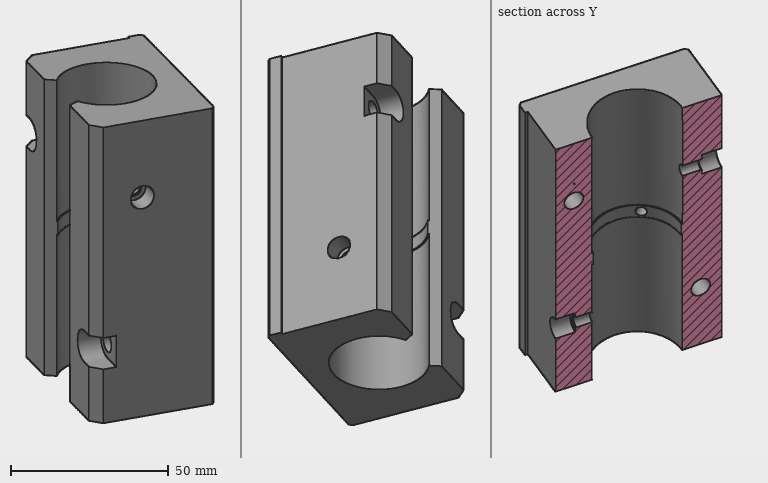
import cadquery as cq
import math


length = 104.0
width = 60.0
height = 42.0
back_y = 25.0
front_y = back_y - height
half_width = width / 2
back_chamfer = 1.0
front_chamfer = 3.5

ledge_height = 5.0
side_setback = 1.0
left_side_x = -half_width + side_setback

bore_radius = 16.0
land_radius = 15.6
land_length = 5.0
opening_half_angle = math.radians(32.0)

screw_x = 22.5
screw_z = 27.5
screw_hole_diameter = 6.6
screw_head_width = 11.0
screw_head_depth = 8.0

set_screw_z = 25.0
set_screw_core_diameter = 4.2
set_screw_counterbore_diameter = 8.0
set_screw_counterbore_depth = 7.0
set_screw_countersink = 0.4

oil_hole_diameter = 3.6
oil_hole_angle = math.radians(45.0)
oil_hole_offset = 3.8


def cylinder(start, direction, diameter, depth):
    return cq.Workplane(
        cq.Solid.makeCylinder(diameter / 2, depth, cq.Vector(*start), cq.Vector(*direction))
    )


def make_block():
    outline = [
        (-half_width + back_chamfer, back_y),
        (half_width - back_chamfer, back_y),
        (half_width, back_y - back_chamfer),
        (half_width, front_y + front_chamfer),
        (half_width - front_chamfer, front_y),
        (left_side_x + front_chamfer, front_y),
        (left_side_x, front_y + front_chamfer),
        (left_side_x, back_y - ledge_height),
        (-half_width, back_y - ledge_height),
        (-half_width, back_y - back_chamfer),
    ]
    return cq.Workplane("XY").polyline(outline).close().extrude(length / 2, both=True)


def make_bore():
    bore = cq.Workplane("XY").circle(land_radius).extrude(length / 2, both=True)
    end_length = (length - land_length) / 2
    for end_start in (-length / 2, land_length / 2):
        end_bore = cq.Workplane("XY").workplane(offset=end_start).circle(bore_radius).extrude(end_length)
        bore = bore.union(end_bore)
    return bore


def make_opening():
    mouth_half_width = -front_y * math.tan(opening_half_angle)
    wedge = [(0, 0), (-mouth_half_width, front_y), (mouth_half_width, front_y)]
    return cq.Workplane("XY").polyline(wedge).close().extrude(length / 2, both=True)


def make_screw_seat(side):
    x = side * screw_x
    z = -side * screw_z
    hole = cylinder((x, front_y, z), (0, 1, 0), screw_hole_diameter, height)
    head = cylinder((x, front_y, z), (0, 1, 0), screw_head_width, screw_head_depth)
    run_out = half_width - screw_x
    slot = cq.Workplane("XY").box(run_out, screw_head_depth, screw_head_width)
    slot = slot.translate((x + side * run_out / 2, front_y + screw_head_depth / 2, z))
    return hole.union(head).union(slot)


def make_set_screw_hole(side):
    z = side * set_screw_z
    face_x = left_side_x if side < 0 else half_width
    inward = (-side, 0, 0)
    core_radius = set_screw_core_diameter / 2
    floor_x = face_x - side * set_screw_counterbore_depth
    core = cylinder((face_x, 0, z), inward, set_screw_core_diameter, abs(face_x))
    counterbore = cylinder(
        (face_x, 0, z), inward, set_screw_counterbore_diameter, set_screw_counterbore_depth
    )
    countersink = cq.Solid.makeCone(
        core_radius + set_screw_countersink,
        core_radius,
        set_screw_countersink,
        cq.Vector(floor_x, 0, z),
        cq.Vector(*inward),
    )
    return core.union(counterbore).union(cq.Workplane(countersink))


def make_oil_hole():
    along_x = math.cos(oil_hole_angle)
    along_y = math.sin(oil_hole_angle)
    start = (-oil_hole_offset * along_y, oil_hole_offset * along_x, 0)
    return cylinder(start, (along_x, along_y, 0), oil_hole_diameter, height)


result = make_block().cut(make_bore()).cut(make_opening()).cut(make_oil_hole())
for side in (-1, 1):
    result = result.cut(make_screw_seat(side)).cut(make_set_screw_hole(side))